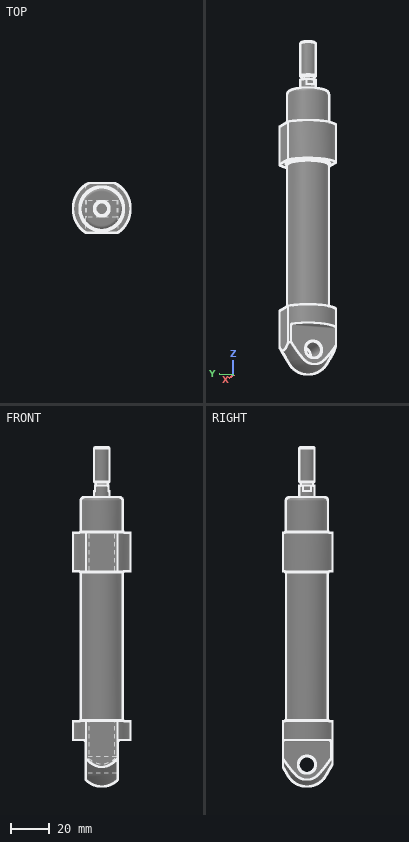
import cadquery as cq
import math

COLLAR_DIAMETER = 29.9
COLLAR_RADIUS = COLLAR_DIAMETER / 2
FRONT_FLAT = 12.5
BACK_FLAT = 13.4
REAR_COLLAR_BOTTOM = 24.0
REAR_COLLAR_TOP = 34.0
HEAD_COLLAR_BOTTOM = 111.5
HEAD_COLLAR_TOP = 131.5
HOUSING_TOP = 150.0
BARREL_DIAMETER = 21.8
HEAD_DIAMETER = 22.0
HEAD_FILLET = 2.1

FLARE_DIAMETER = 23.2
FLARE_HEIGHT = 0.7

TONGUE_WIDTH = 16.7
DOME_RADIUS = 11.5
DOME_SLOPE = math.radians(60)
PIN_HOLE_DIAMETER = 8.6
PIN_HOLE_CHAMFER = 0.4
TONGUE_FILLET = 0.9

OVERALL_HEIGHT = 175.8
ROD_DIAMETER = 8.0
ROD_SHOULDER = 155.8
THREAD_BOTTOM = 157.3
NECK_DIAMETER = 6.3
THREAD_CHAMFER = 0.7
WRENCH_WIDTH = 7.0
WRENCH_BOTTOM = 153.0


def cylinder(diameter, bottom, top):
    return cq.Workplane("XY").workplane(offset=bottom).circle(diameter / 2).extrude(top - bottom)


def block(width, front, back, bottom, top):
    """Box centred on X, from Y = -front to Y = back."""
    size_y = front + back
    box = cq.Workplane("XY").box(width, size_y, top - bottom, centered=(True, False, False))
    return box.translate((0, -front, bottom))


def domed_envelope():
    """Revolved solid: spherical tip, tangent cone, then the collar cylinder."""
    tangent_radius = DOME_RADIUS * math.sin(DOME_SLOPE)
    tangent_level = DOME_RADIUS * (1 - math.cos(DOME_SLOPE))
    arc_radius = DOME_RADIUS * math.sin(DOME_SLOPE / 2)
    arc_level = DOME_RADIUS * (1 - math.cos(DOME_SLOPE / 2))
    cone_top = tangent_level + (COLLAR_RADIUS - tangent_radius) * math.tan(DOME_SLOPE)
    return (
        cq.Workplane("XZ")
        .moveTo(0, 0)
        .threePointArc((arc_radius, arc_level), (tangent_radius, tangent_level))
        .lineTo(COLLAR_RADIUS, cone_top)
        .lineTo(COLLAR_RADIUS, REAR_COLLAR_TOP)
        .lineTo(0, REAR_COLLAR_TOP)
        .close()
        .revolve(360, (0, 0, 0), (0, 1, 0))
    )


def pin_hole():
    """Chamfered through-hole along X, as a solid to cut away."""
    half_width = TONGUE_WIDTH / 2
    hole_radius = PIN_HOLE_DIAMETER / 2
    mouth_radius = hole_radius + PIN_HOLE_CHAMFER
    chamfer_start = half_width - PIN_HOLE_CHAMFER
    return (
        cq.Workplane("XZ")
        .polyline([
            (-half_width, 0),
            (-half_width, mouth_radius),
            (-chamfer_start, hole_radius),
            (chamfer_start, hole_radius),
            (half_width, mouth_radius),
            (half_width, 0),
        ])
        .close()
        .revolve(360, (0, 0, 0), (1, 0, 0))
        .translate((0, 0, DOME_RADIUS))
    )


def side_cut(side):
    """Material removed beside the tongue; side is -1 for -X and +1 for +X."""
    depth = COLLAR_RADIUS - TONGUE_WIDTH / 2
    cut = (
        cq.Workplane("XY")
        .box(depth, COLLAR_DIAMETER, REAR_COLLAR_BOTTOM, centered=(True, True, False))
        .translate((side * (TONGUE_WIDTH + depth) / 2, 0, 0))
    )
    inner_edge = "<X" if side > 0 else ">X"
    return cut.faces(">Z").edges(inner_edge).fillet(TONGUE_FILLET)


def make_clevis():
    """Rear collar and tongue in one piece, sharing the two flats."""
    flats = block(COLLAR_DIAMETER, FRONT_FLAT, BACK_FLAT, 0, REAR_COLLAR_TOP)
    clevis = domed_envelope().intersect(flats)
    for side in (-1, 1):
        clevis = clevis.cut(side_cut(side))
    return clevis.cut(pin_hole())


def make_head_collar():
    flats = block(COLLAR_DIAMETER, FRONT_FLAT, BACK_FLAT, HEAD_COLLAR_BOTTOM, HEAD_COLLAR_TOP)
    return cylinder(COLLAR_DIAMETER, HEAD_COLLAR_BOTTOM, HEAD_COLLAR_TOP).intersect(flats)


def flare(end_diameter, collar_face, direction):
    """Cone from a collar face to a round body; direction is +1 for up and -1 for down."""
    cone = cq.Solid.makeCone(
        FLARE_DIAMETER / 2,
        end_diameter / 2,
        FLARE_HEIGHT,
        pnt=cq.Vector(0, 0, collar_face),
        dir=cq.Vector(0, 0, direction),
    )
    return cq.Workplane(cone)


def make_housing():
    barrel = cylinder(BARREL_DIAMETER, REAR_COLLAR_TOP, HEAD_COLLAR_BOTTOM)
    head = cylinder(HEAD_DIAMETER, HEAD_COLLAR_TOP, HOUSING_TOP).faces(">Z").edges().fillet(HEAD_FILLET)
    body = make_clevis().union(barrel).union(make_head_collar()).union(head)
    body = body.union(flare(BARREL_DIAMETER, REAR_COLLAR_TOP, 1))
    body = body.union(flare(BARREL_DIAMETER, HEAD_COLLAR_BOTTOM, -1))
    body = body.union(flare(HEAD_DIAMETER, HEAD_COLLAR_TOP, 1))
    return body


def make_rod():
    shank = cylinder(ROD_DIAMETER, HOUSING_TOP, ROD_SHOULDER)
    wrench_cut = cylinder(ROD_DIAMETER, WRENCH_BOTTOM, ROD_SHOULDER).cut(
        block(WRENCH_WIDTH, ROD_DIAMETER, ROD_DIAMETER, WRENCH_BOTTOM, ROD_SHOULDER)
    )
    neck = cylinder(NECK_DIAMETER, ROD_SHOULDER, THREAD_BOTTOM)
    thread = cylinder(ROD_DIAMETER, THREAD_BOTTOM, OVERALL_HEIGHT)
    thread = thread.faces("<Z or >Z").edges().chamfer(THREAD_CHAMFER)
    return shank.cut(wrench_cut).union(neck).union(thread)


housing = make_housing()
rod = make_rod()

result = cq.Compound.makeCompound([housing.val(), rod.val()])